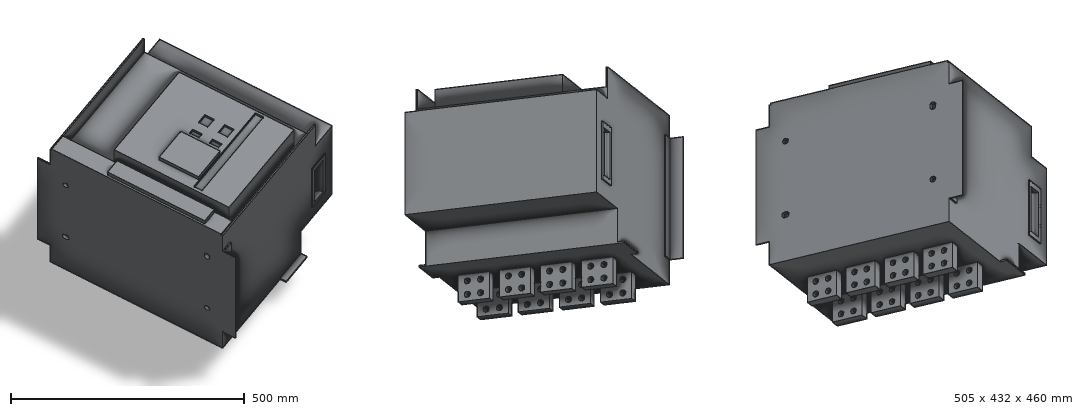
import cadquery as cq

body_width = 440.0
body_depth = 432.0
side_top = 380.5
side_wall = 3.5
side_depth = 365.5
foot_depth = 309.0
rear_bottom = 79.0
rear_top = 309.0
deck_top = 336.0
strip_top = 384
strip_depth = 43.5

panel_left, panel_right = -99.5, 193.5
panel_front, panel_back = 66.5, 322.0
panel_top = 390.5
groove_left, groove_right = 98.5, 119.5
groove_front, groove_back = 74.0, 316.5
recess_depth = 6.0
button_lefts = (10.5, 61.0)
button_width = 23.5
large_button_front, large_button_back = 228.5, 253.5
small_button_front, small_button_back = 193.5, 205.5
display_left, display_right = -3.5, 97.0
display_front, display_back = 95.5, 180.5
display_top = 400.0

bar_left, bar_right = -76.5, 171.5
bar_front, bar_back = 4.5, 42.0
bar_top = 394.5

bracket_width = 505
bracket_bottom, bracket_top = 55.5, 328
bracket_leg = 30.0
bracket_sheet = 3.0

foot_span = 470.5
foot_front, foot_back = 226.5, foot_depth
foot_thickness = 3.5

frame_y = 376.0
frame_z = 182.5
frame_width, frame_height = 51.0, 130.5
frame_thickness = 2.5
grip_y = 375.0
grip_z = 181.5
grip_width, grip_height = 33.0, 106
grip_depth = 16.0

terminal_count = 4
terminal_pitch = 94.5
terminal_width = 71.5
terminal_thickness = 21.5
terminal_length = 60.0
terminal_fronts = (92.0, 203.5)
terminal_hole_pitch = 30.5
hole_diameter = 13.0

mount_x = 180.5
mount_low, mount_high = 110.0, 285.0
mount_slot_length = 17.0
mount_depth = 10


def block(x0, x1, y0, y1, z0, z1):
    """Box between two opposite corners."""
    return cq.Workplane("XY").box(x1 - x0, y1 - y0, z1 - z0, centered=False).translate((x0, y0, z0))


def make_housing():
    half = body_width / 2
    inner = half - side_wall
    profile = [
        (0, 0), (foot_depth, 0), (foot_depth, rear_bottom), (body_depth, rear_bottom),
        (body_depth, rear_top), (side_depth, rear_top), (side_depth, side_top), (0, side_top),
    ]
    housing = cq.Workplane("YZ").polyline(profile).close().extrude(half, both=True)
    housing = housing.cut(block(-inner, inner, strip_depth, side_depth, deck_top, side_top))
    return housing.union(block(-inner, inner, 0, strip_depth, deck_top, strip_top))


def make_panel():
    panel = block(panel_left, panel_right, panel_front, panel_back, deck_top, panel_top)
    recess_floor = panel_top - recess_depth
    panel = panel.cut(block(groove_left, groove_right, groove_front, groove_back, recess_floor, panel_top))
    for left in button_lefts:
        right = left + button_width
        for front, back in (
            (large_button_front, large_button_back),
            (small_button_front, small_button_back),
        ):
            panel = panel.cut(block(left, right, front, back, recess_floor, panel_top))
    return panel.union(
        block(display_left, display_right, display_front, display_back, panel_top, display_top)
    )


def make_left_bracket():
    wall = -body_width / 2
    leg = block(wall - bracket_sheet, wall, 0, bracket_leg, bracket_bottom, bracket_top)
    flange = block(-bracket_width / 2, wall, 0, bracket_sheet, bracket_bottom, bracket_top)
    return leg.union(flange)


def make_left_frame():
    wall = -body_width / 2
    y0 = frame_y - frame_width / 2
    z0 = frame_z - frame_height / 2
    return block(wall - frame_thickness, wall, y0, y0 + frame_width, z0, z0 + frame_height)


def make_left_grip():
    """Trough with an arc-shaped bottom, cut in from the left side."""
    mouth = -body_width / 2 - frame_thickness
    return (
        cq.Workplane("XY", origin=(0, 0, grip_z - grip_height / 2))
        .moveTo(mouth, grip_y - grip_width / 2)
        .threePointArc((mouth + grip_depth, grip_y), (mouth, grip_y + grip_width / 2))
        .close()
        .extrude(grip_height)
    )


def on_both_sides(shape):
    return shape.union(shape.mirror("YZ"))


def make_terminal_row(front):
    first = -terminal_pitch * (terminal_count - 1) / 2
    centers = [(first + i * terminal_pitch, -terminal_length / 2) for i in range(terminal_count)]
    half_pitch = terminal_hole_pitch / 2
    holes = [
        (x + dx, z + dz)
        for x, z in centers
        for dx in (-half_pitch, half_pitch)
        for dz in (-half_pitch, half_pitch)
    ]
    plane = cq.Workplane("XZ", origin=(0, front, 0))
    plates = plane.pushPoints(centers).rect(terminal_width, terminal_length).extrude(-terminal_thickness)
    return plates.cut(plane.pushPoints(holes).circle(hole_diameter / 2).extrude(-terminal_thickness))


def make_mount_slot(x, z, length, angle):
    plane = cq.Workplane("XZ", origin=(x, 0, z))
    return plane.slot2D(length, hole_diameter, angle).extrude(-mount_depth)


def make_mount_holes():
    round_holes = (
        cq.Workplane("XZ")
        .pushPoints([(-mount_x, mount_high), (mount_x, mount_low)])
        .circle(hole_diameter / 2)
        .extrude(-mount_depth)
    )
    wide_slot = make_mount_slot(-mount_x, mount_low, mount_slot_length, 0)
    tall_slot = make_mount_slot(mount_x, mount_high, mount_slot_length, 90)
    return round_holes.union(wide_slot).union(tall_slot)


result = make_housing().union(make_panel())
result = result.union(block(bar_left, bar_right, bar_front, bar_back, strip_top, bar_top))
result = result.union(on_both_sides(make_left_bracket()))
result = result.union(on_both_sides(make_left_frame()))
result = result.cut(on_both_sides(make_left_grip()))
result = result.union(
    block(-foot_span / 2, foot_span / 2, foot_front, foot_back, 0, foot_thickness)
)
for terminal_front in terminal_fronts:
    result = result.union(make_terminal_row(terminal_front))
result = result.cut(make_mount_holes())